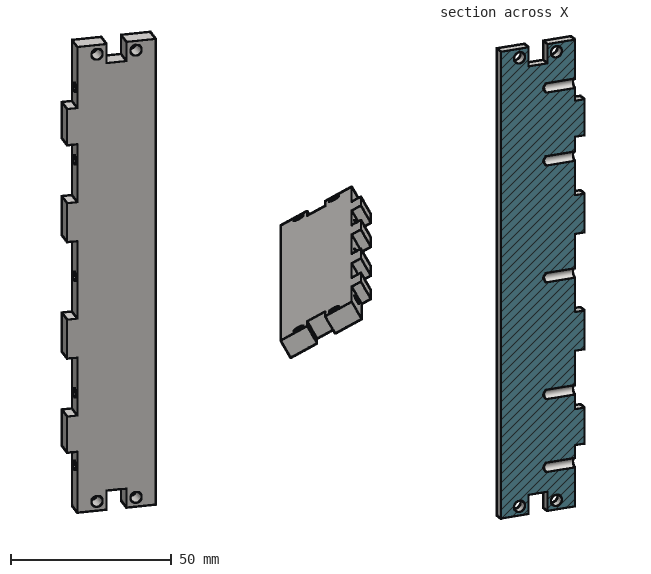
import cadquery as cq
import math

height = 155.5
thickness = 6.4
body_width = 25.3
tab_depth = 3.3

tab_spans = [(12.9, 26.0), (45.3, 57.4)]

notch_width = thickness
notch_depth = thickness

end_hole_diameter = 3.5
end_hole_inset = 3.1
end_hole_edge_distance = thickness

edge_hole_diameter = 3.0
edge_hole_depth = 10.0
drill_point_angle = 118.0
edge_hole_heights = [-63.1, -38.9, 0.0, 38.9, 63.1]

body_front = -(body_width - tab_depth) / 2
body_center = body_front + body_width / 2


def block(width, z_size, y_center, z_center):
    """Box of full plate thickness, centred on X."""
    return cq.Workplane("XY").box(thickness, width, z_size).translate((0, y_center, z_center))


def edge_tab(lower, upper):
    """Tab standing out from the -Y edge."""
    return block(tab_depth, upper - lower, body_front - tab_depth / 2, (lower + upper) / 2)


def edge_hole(z):
    """Drilled hole with a conical bottom, running along +Y from the -Y edge."""
    radius = edge_hole_diameter / 2
    point_depth = radius / math.tan(math.radians(drill_point_angle / 2))
    profile = (
        cq.Workplane("XY")
        .moveTo(0, 0)
        .lineTo(radius, 0)
        .lineTo(radius, edge_hole_depth)
        .lineTo(0, edge_hole_depth + point_depth)
        .close()
    )
    return profile.revolve(360, (0, 0, 0), (0, 1, 0)).translate((0, body_front, z))


def end_hole(y, z):
    """Hole through the plate thickness."""
    return (
        cq.Workplane("YZ", origin=(-thickness / 2, 0, 0))
        .center(y, z)
        .circle(end_hole_diameter / 2)
        .extrude(thickness)
    )


plate = block(body_width, height, body_center, 0)

for lower, upper in tab_spans:
    plate = plate.union(edge_tab(lower, upper))
    plate = plate.union(edge_tab(-upper, -lower))

end_hole_offset = body_width / 2 - end_hole_edge_distance
for end in (-1, 1):
    notch_z = end * (height - notch_depth) / 2
    plate = plate.cut(block(notch_width, notch_depth, body_center, notch_z))
    for side in (-1, 1):
        hole_y = body_center + side * end_hole_offset
        hole_z = end * (height / 2 - end_hole_inset)
        plate = plate.cut(end_hole(hole_y, hole_z))

for z in edge_hole_heights:
    plate = plate.cut(edge_hole(z))

result = plate